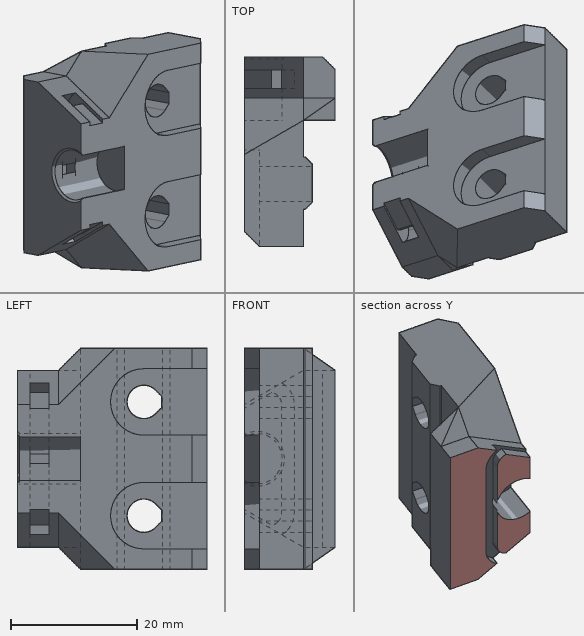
import cadquery as cq
import math

depth = 14.4
length = 30.0
height = 35.0
half_height = height / 2

body_depth = 9.38
flange_start = 20.0
head_half_height = 14.0
head_start = flange_start + half_height - head_half_height
bevel_angle = 30.0
bevel_drop = body_depth * math.tan(math.radians(bevel_angle))
end_chamfer = 2.0
foot_chamfer = 2.4

pad_step = 0.25
pad_chamfer = 1.15
pad_start = 5.88
pad_end = 14.2

screw_y = 10.0
screw_spacing = 18.0
hole_radius = 2.62
hole_flat = 2.85
seat_radius = 5.25
seat_depth = 2.4

channel_radius = 4.0
channel_axis_x = 2.0
channel_start = flange_start
channel_flare = 0.35

strap_start = 25.02
strap_end = 27.95
strap_thickness = 2.0
strap_bend_radius = 2.0
strap_bend_x = 3.92
strap_groove_end = 4.35
strap_recess = 0.6


def slab(points, start, end):
    """Extrude a closed XZ outline from Y = start to Y = end."""
    return cq.Workplane("XZ", origin=(0, end, 0)).polyline(points).close().extrude(end - start)


def make_side_profile():
    """Full-height plate, pad and flange as seen along Z."""
    pad_x = body_depth + pad_step + pad_chamfer
    return (
        cq.Workplane("XY", origin=(0, 0, -half_height))
        .moveTo(foot_chamfer, 0)
        .lineTo(body_depth, 0)
        .lineTo(body_depth, pad_start)
        .lineTo(body_depth + pad_step, pad_start)
        .lineTo(pad_x, pad_start + pad_chamfer)
        .lineTo(pad_x, pad_end - pad_chamfer)
        .lineTo(body_depth + pad_step, pad_end)
        .lineTo(body_depth, pad_end)
        .lineTo(body_depth, flange_start)
        .lineTo(depth, flange_start)
        .lineTo(depth, length - end_chamfer)
        .lineTo(depth - end_chamfer, length)
        .lineTo(0, length)
        .lineTo(0, foot_chamfer)
        .close()
        .extrude(height)
    )


def make_shoulder_outline():
    """Stepped-in outline of the part as seen along X."""
    return (
        cq.Workplane("YZ")
        .polyline([
            (0, -half_height),
            (flange_start, -half_height),
            (head_start, -head_half_height),
            (length, -head_half_height),
            (length, head_half_height),
            (head_start, head_half_height),
            (flange_start, half_height),
            (0, half_height),
        ])
        .close()
        .extrude(depth)
    )


def make_flange_taper():
    """Wedge between the sloping flange side and the full height, on +Z."""
    return slab(
        [(body_depth, half_height), (depth, half_height), (depth, head_half_height)],
        flange_start, length,
    )


def make_bevel():
    """Corner removed from the head and, at 45 degrees, from the shoulder on +Z."""
    head = slab(
        [
            (0, head_half_height - bevel_drop),
            (body_depth, head_half_height),
            (0, head_half_height),
        ],
        head_start, length,
    )
    shoulder_outline = [
        (0, head_half_height - bevel_drop),
        (body_depth, head_half_height),
        (0, head_half_height),
    ]
    slide = head_start - flange_start + bevel_drop
    corners = [cq.Vector(x, head_start, z) for x, z in shoulder_outline]
    wire = cq.Wire.makePolygon(corners, close=True)
    shoulder = cq.Solid.extrudeLinear(wire, [], cq.Vector(0, -slide, slide))
    return head.union(cq.Workplane(obj=shoulder))


def make_screw_seat(z):
    """Open-ended seat and truncated teardrop through hole."""
    seat = cq.Workplane("YZ").center(screw_y, z).circle(seat_radius).extrude(seat_depth)
    seat = seat.union(
        cq.Workplane("YZ").center(screw_y / 2, z).rect(screw_y, 2 * seat_radius).extrude(seat_depth)
    )
    tangent = hole_radius * math.sqrt(0.5)
    tip = hole_radius * math.sqrt(2) - hole_flat
    hole = (
        cq.Workplane("YZ", origin=(0, screw_y, z))
        .moveTo(-hole_flat, tip)
        .lineTo(-tangent, tangent)
        .threePointArc((hole_radius, 0), (-tangent, -tangent))
        .lineTo(-hole_flat, -tip)
        .close()
        .extrude(depth)
    )
    return seat.union(hole)


def make_channel():
    """Rod channel, more than half a circle deep, with a flared mouth at the +Y end."""
    run = length - channel_start
    end_plane = cq.Workplane("XZ", origin=(channel_axis_x, length, 0))
    channel = end_plane.circle(channel_radius).extrude(run)
    flare = (
        end_plane.circle(channel_radius + channel_flare)
        .workplane(offset=channel_flare)
        .circle(channel_radius)
        .loft()
    )
    return channel.union(flare)


def make_strap_passage():
    """Passage behind the channel, bending out at both ends to a shallow groove on the bevel."""
    floor_z = head_half_height - bevel_drop - strap_recess
    groove_end_z = floor_z + strap_groove_end * math.tan(math.radians(bevel_angle))
    bend_z = groove_end_z - math.sqrt(strap_bend_radius**2 - (strap_groove_end - strap_bend_x) ** 2)
    inner_x = strap_bend_x + strap_bend_radius
    outer_radius = strap_bend_radius + strap_thickness
    outer_x = strap_bend_x + outer_radius
    width = strap_end - strap_start
    straight = slab(
        [(inner_x, -bend_z), (outer_x, -bend_z), (outer_x, bend_z), (inner_x, bend_z)],
        strap_start, strap_end,
    )
    groove = slab(
        [
            (0, floor_z),
            (strap_groove_end, groove_end_z),
            (strap_groove_end, half_height),
            (0, half_height),
        ],
        strap_start, strap_end,
    )
    bend = (
        cq.Workplane("XZ", origin=(strap_bend_x, strap_end, bend_z))
        .circle(outer_radius)
        .circle(strap_bend_radius)
        .extrude(width)
    )
    bend_limit = cq.Workplane("XY").box(depth, length, half_height, centered=False)
    bend = bend.intersect(bend_limit.translate((strap_groove_end, 0, bend_z)))
    upper = groove.union(bend)
    return straight.union(upper).union(upper.mirror("XY"))


result = make_side_profile().intersect(make_shoulder_outline())
for corner in (make_flange_taper(), make_bevel()):
    result = result.cut(corner).cut(corner.mirror("XY"))
for side in (-1, 1):
    result = result.cut(make_screw_seat(side * screw_spacing / 2))
result = result.cut(make_channel()).cut(make_strap_passage())